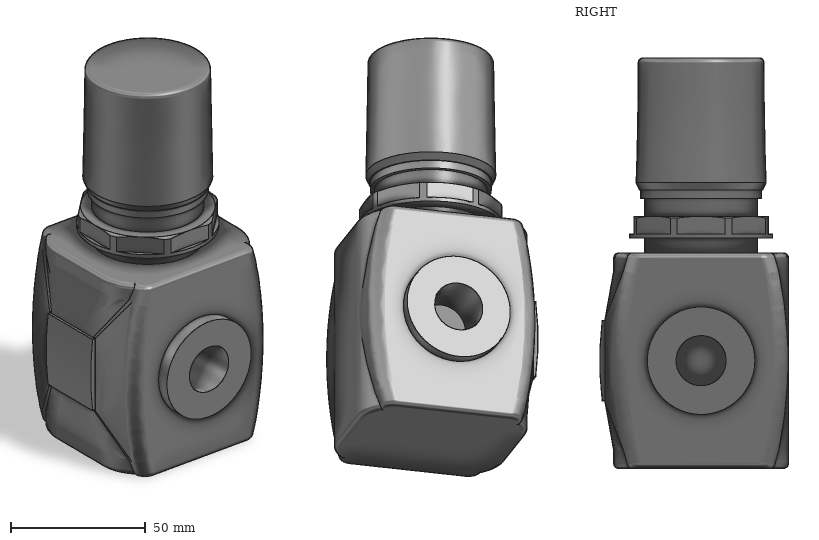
import cadquery as cq
import math

HEIGHT = 80.0
HALF_WIDTH = 31.5
MID_Z = HEIGHT / 2
RIM_FILLET = 2.0

CORE_HALF_DEPTH = 32.5
CORE_FLAT_HALF = 13.7
CORE_ARC_RADIUS = 18.0

POST_RADIUS = 5.0
POST_DEPTH_RIM = 27.0
POST_DEPTH_BAND = 28.8
POST_DEPTH_MID = 31.9
BAND_HEIGHT = 6.7
POST_MID_HALF = 11.1

BULGE_DEPTH = 35.7
BULGE_HALF_WIDTH = 13.7
BULGE_HALF_HEIGHT = 15.4
PANEL_MARGIN = 0.5
PANEL_CREST = 37.7
PANEL_EDGE = 36.8
RIDGE_WIDTH = 1.2
FACET_HALF_WIDTH = 6.9
BULGE_ROOT = 18.3

PORT_DIAMETER = 40.0
PORT_BORE = 18.6
PORT_SPAN = 73.0
PORT_DEPTH = 22.9

NECK_DIAMETER = 42.0
NECK_TOP = 100.3

NUT_BOTTOM = 85.5
NUT_FLANGE = 1.5
NUT_TOP = 93.6
NUT_DIAMETER = 53.0
NUT_ACROSS_FLATS = 50.0
NUT_SIDES = 8
NUT_CHAMFER_WIDTH = 1.5
NUT_CHAMFER_HEIGHT = 0.6

COLLAR_DIAMETER = 45.0
COLLAR_TOP = 103.4
KNOB_SKIRT_DIAMETER = 45.8
KNOB_BASE_DIAMETER = 48.3
KNOB_BASE = 106.1
KNOB_TOP_DIAMETER = 46.7
KNOB_TOP = 152.5
KNOB_FILLET = 1.8

POST_X = HALF_WIDTH - POST_RADIUS
BAND_HALF = MID_Z - BAND_HEIGHT
PANEL_HALF_WIDTH = BULGE_HALF_WIDTH - PANEL_MARGIN
PANEL_HALF_HEIGHT = BULGE_HALF_HEIGHT - PANEL_MARGIN
ARC_CENTRE_Y = CORE_HALF_DEPTH - CORE_ARC_RADIUS


def core_arc_depth(x):
    """Half-depth of the core where its curved face passes x."""
    return ARC_CENTRE_Y + math.sqrt(CORE_ARC_RADIUS**2 - (x - CORE_FLAT_HALF) ** 2)


def core_arc_x(depth):
    """The x where the curved face of the core has the given half-depth."""
    return CORE_FLAT_HALF + math.sqrt(CORE_ARC_RADIUS**2 - (depth - ARC_CENTRE_Y) ** 2)


def make_core():
    arc_mid_x = (CORE_FLAT_HALF + POST_X) / 2
    quarter = (
        cq.Workplane("XY")
        .lineTo(0, CORE_HALF_DEPTH)
        .lineTo(CORE_FLAT_HALF, CORE_HALF_DEPTH)
        .threePointArc((arc_mid_x, core_arc_depth(arc_mid_x)), (POST_X, core_arc_depth(POST_X)))
        .lineTo(POST_X, 0)
        .close()
        .extrude(HEIGHT)
    )
    half = quarter.union(quarter.mirror("YZ"))
    core = half.union(half.mirror("XZ")).clean().faces("<Z or >Z").edges().fillet(RIM_FILLET)
    front_gap = cq.Workplane("XY").box(
        2 * POST_X, CORE_HALF_DEPTH, 2 * BAND_HALF, centered=(True, False, True)
    )
    return core.cut(front_gap.translate((0, -BULGE_ROOT - CORE_HALF_DEPTH, MID_Z)))


def swell_points(side):
    """Points (Y, Z) up the swelling face of the corner posts; side is +1 or -1 along Y."""
    return [
        (side * POST_DEPTH_BAND, MID_Z - BAND_HALF),
        (side * POST_DEPTH_MID, MID_Z - POST_MID_HALF),
        (side * POST_DEPTH_MID, MID_Z + POST_MID_HALF),
        (side * POST_DEPTH_BAND, MID_Z + BAND_HALF),
    ]


def make_posts():
    """Full-width block whose four corners are the swelling posts."""
    front = swell_points(-1)
    back = swell_points(1)[::-1]
    block = (
        cq.Workplane("YZ")
        .moveTo(-POST_DEPTH_RIM, 0)
        .lineTo(*front[0])
        .spline(front[1:], includeCurrent=True)
        .lineTo(-POST_DEPTH_RIM, HEIGHT)
        .lineTo(POST_DEPTH_RIM, HEIGHT)
        .lineTo(*back[0])
        .spline(back[1:], includeCurrent=True)
        .lineTo(POST_DEPTH_RIM, 0)
        .close()
        .extrude(HALF_WIDTH, both=True)
    )
    upright_edges = block.faces("<X or >X").edges("not #Z").edges("not |Y")
    return upright_edges.fillet(POST_RADIUS).faces("<Z or >Z").edges().fillet(RIM_FILLET)


def planar(edges):
    """Flat face bounded by edges given in any order."""
    return cq.Face.makeFromWires(cq.Wire.combine(edges)[0])


def closed_loop(*points):
    """Straight edges joining the points in turn and back to the first."""
    return [cq.Edge.makeLine(a, b) for a, b in zip(points, points[1:] + points[:1])]


def bulge_corner(side, end):
    """Named points of one quarter of the bulge; side is the sign of X, end the sign of height."""

    def point(x, depth, height):
        return cq.Vector(side * x, -depth, MID_Z + end * height)

    ridge_x = core_arc_x(POST_DEPTH_BAND)
    arc_mid_x = (ridge_x + CORE_FLAT_HALF) / 2
    return {
        "post": point(POST_X, POST_DEPTH_BAND, BAND_HALF),
        "ridge": point(ridge_x, POST_DEPTH_BAND, BAND_HALF),
        "arc_mid": point(arc_mid_x, core_arc_depth(arc_mid_x), BAND_HALF),
        "flat": point(CORE_FLAT_HALF, CORE_HALF_DEPTH, BAND_HALF),
        "root": point(POST_X, BULGE_ROOT, BAND_HALF),
        "top_corner": point(BULGE_HALF_WIDTH, BULGE_DEPTH, BULGE_HALF_HEIGHT),
        "top_ridge": point(BULGE_HALF_WIDTH - RIDGE_WIDTH, BULGE_DEPTH, BULGE_HALF_HEIGHT),
        "top_facet": point(FACET_HALF_WIDTH, BULGE_DEPTH, BULGE_HALF_HEIGHT),
    }


def make_bulge():
    """Front bulge: ruled faces running from the rim bands and corner posts to its flat top."""
    line = cq.Edge.makeLine
    ruled = cq.Face.makeRuledSurface
    corners = {(side, end): bulge_corner(side, end) for side in (-1, 1) for end in (-1, 1)}
    faces = []

    for end in (-1, 1):
        left = corners[-1, end]
        right = corners[1, end]
        band_edges = [
            line(left["flat"], right["flat"]),
            line(left["post"], left["root"]),
            line(left["root"], right["root"]),
            line(right["root"], right["post"]),
        ]
        for corner in (left, right):
            strip = line(corner["post"], corner["ridge"])
            arc = cq.Edge.makeThreePointArc(corner["ridge"], corner["arc_mid"], corner["flat"])
            faces.append(ruled(strip, line(corner["top_corner"], corner["top_ridge"])))
            faces.append(ruled(arc, line(corner["top_ridge"], corner["top_facet"])))
            band_edges += [strip, arc]
        faces.append(planar(closed_loop(left["flat"], right["flat"], right["top_facet"], left["top_facet"])))
        faces.append(planar(band_edges))

    for side in (-1, 1):
        low = corners[side, -1]
        high = corners[side, 1]
        swell = cq.Edge.makeSpline([cq.Vector(side * POST_X, y, z) for y, z in swell_points(-1)])
        faces.append(ruled(swell, line(low["top_corner"], high["top_corner"])))
        faces.append(planar([
            swell,
            line(high["post"], high["root"]),
            line(high["root"], low["root"]),
            line(low["root"], low["post"]),
        ]))

    around = ((-1, -1), (1, -1), (1, 1), (-1, 1))
    inward = ("top_corner", "top_ridge", "top_facet")
    top_points = []
    for side, end in around:
        names = inward if side == end else inward[::-1]
        top_points += [corners[side, end][name] for name in names]
    faces.append(planar(closed_loop(*top_points)))
    faces.append(planar(closed_loop(*(corners[key]["root"] for key in around))))
    return cq.Workplane(cq.Solid.makeSolid(cq.Shell.makeShell(faces)).fix())


def make_panel():
    """Raised panel with a gently crowned face."""
    return (
        cq.Workplane("YZ")
        .moveTo(-BULGE_ROOT, MID_Z - PANEL_HALF_HEIGHT)
        .lineTo(-PANEL_EDGE, MID_Z - PANEL_HALF_HEIGHT)
        .threePointArc((-PANEL_CREST, MID_Z), (-PANEL_EDGE, MID_Z + PANEL_HALF_HEIGHT))
        .lineTo(-BULGE_ROOT, MID_Z + PANEL_HALF_HEIGHT)
        .close()
        .extrude(PANEL_HALF_WIDTH, both=True)
    )


def make_housing():
    bosses = (
        cq.Workplane("YZ", origin=(0, 0, MID_Z)).circle(PORT_DIAMETER / 2).extrude(PORT_SPAN / 2, both=True)
    )
    neck = cq.Workplane("XY", origin=(0, 0, MID_Z)).circle(NECK_DIAMETER / 2).extrude(NECK_TOP - MID_Z)
    housing = make_posts().union(make_core()).union(make_bulge()).union(make_panel())
    housing = housing.union(bosses).union(neck)
    bore = (
        cq.Workplane("YZ", origin=(PORT_SPAN / 2, 0, MID_Z)).circle(PORT_BORE / 2).extrude(-PORT_DEPTH)
    )
    return housing.cut(bore).cut(bore.mirror("YZ"))


def make_nut():
    """Octagonal nut with a round flange, bored to fit the neck."""
    height = NUT_TOP - NUT_BOTTOM
    blank = (
        cq.Workplane("XY", origin=(0, 0, NUT_BOTTOM))
        .circle(NUT_DIAMETER / 2)
        .extrude(height)
        .faces(">Z")
        .chamfer(NUT_CHAMFER_HEIGHT, NUT_CHAMFER_WIDTH)
    )
    flange = cq.Workplane("XY", origin=(0, 0, NUT_BOTTOM)).circle(NUT_DIAMETER / 2).extrude(NUT_FLANGE)
    octagon = (
        cq.Workplane("XY", origin=(0, 0, NUT_BOTTOM))
        .polygon(NUT_SIDES, NUT_ACROSS_FLATS, circumscribed=True)
        .extrude(height)
    )
    bore = cq.Workplane("XY", origin=(0, 0, NUT_BOTTOM)).circle(NECK_DIAMETER / 2).extrude(height)
    return blank.intersect(octagon).union(flange).cut(bore)


def make_knob():
    """Adjusting knob with its collar, resting on the neck."""
    return (
        cq.Workplane("XZ")
        .moveTo(0, NECK_TOP)
        .lineTo(COLLAR_DIAMETER / 2, NECK_TOP)
        .lineTo(COLLAR_DIAMETER / 2, COLLAR_TOP)
        .lineTo(KNOB_SKIRT_DIAMETER / 2, COLLAR_TOP)
        .lineTo(KNOB_BASE_DIAMETER / 2, KNOB_BASE)
        .lineTo(KNOB_TOP_DIAMETER / 2, KNOB_TOP)
        .lineTo(0, KNOB_TOP)
        .close()
        .revolve(360, (0, 0, 0), (0, 1, 0))
        .faces(">Z")
        .edges()
        .fillet(KNOB_FILLET)
    )


housing = make_housing()
nut = make_nut()
knob = make_knob()

result = cq.Compound.makeCompound([housing.val(), nut.val(), knob.val()])